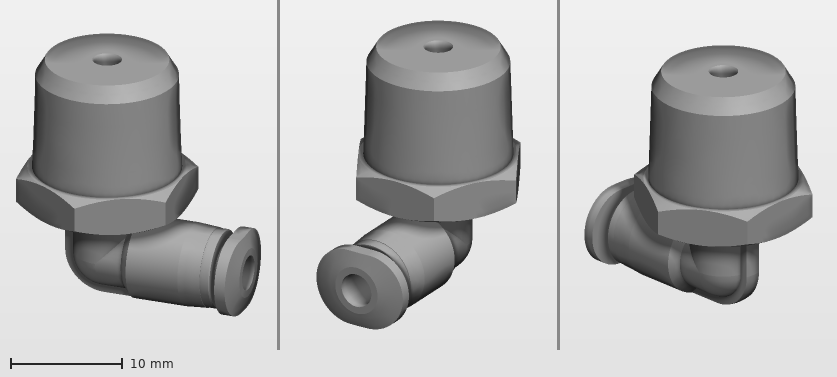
import cadquery as cq
import math


hex_across_flats = 14.3
hex_bottom_z = 4.8
hex_height = 3.5
hex_half_sector = 30
hex_chamfer_angle = 30
thread_height = 10.5
thread_base_radius = 6.72
thread_taper = 1 / 16
thread_tip_height = 1.45
thread_tip_radius = 5.57

stem_radius = 3.05
flare_radius = 3.8
flare_length = 0.8
rib_thickness = 1.55

body_radius = 3.8
body_x = 3.2
body_cone_length = 0.75
body_taper_x = 8.15
body_end_land_x = 10.2
body_end_x = 11.1
body_taper_end_radius = 3.65
body_end_radius = 3.6
body_end_chamfer = 0.1

neck_radius = 4.58 / 2
neck_fillet = 0.32
collar_x = 11.97
collar_end_x = 13.5
collar_half_height = 7.2 / 2
collar_flat_width = 2.0
collar_face_radius = 2.25
collar_face_slope = 0.225

bore_radius = 1.5 / 2
countersink_radius = 2.65 / 2
countersink_half_angle = 30
tube_radius = 3.17 / 2
tube_stop_x = body_x

hex_top_z = hex_bottom_z + hex_height
thread_top_z = hex_top_z + thread_height


def revolve_z(points):
    """Turn an (r, z) outline about the Z axis."""
    return cq.Workplane("XZ").polyline(points).close().revolve(360, (0, 0), (0, 1))


def revolve_x(points):
    """Turn an (x, r) outline about the X axis."""
    return cq.Workplane("XZ").polyline(points).close().revolve(360, (0, 0), (1, 0))


def cylinder_z(radius, z_start, z_end):
    return cq.Workplane("XY").workplane(offset=z_start).circle(radius).extrude(z_end - z_start)


def cylinder_x(radius, x_start, x_end):
    return cq.Workplane("YZ").workplane(offset=x_start).circle(radius).extrude(x_end - x_start)


def elbow(radius, x_end, z_end):
    """Round bend: two equal cylinders with a ball at the outer corner."""
    ball = cq.Workplane("XY").sphere(radius)
    return cylinder_z(radius, 0, z_end).union(cylinder_x(radius, 0, x_end)).union(ball)


def make_hexagon():
    corner_radius = hex_across_flats / 2 / math.cos(math.radians(hex_half_sector))
    flat_radius = hex_across_flats / 2
    corner_drop = (corner_radius - flat_radius) * math.tan(math.radians(hex_chamfer_angle))
    prism = (
        cq.Workplane("XY")
        .workplane(offset=hex_bottom_z)
        .polygon(6, 2 * corner_radius)
        .extrude(hex_height)
        .rotate((0, 0, 0), (0, 0, 1), hex_half_sector)
    )
    chamfer_envelope = revolve_z([
        (0, hex_bottom_z),
        (flat_radius, hex_bottom_z),
        (corner_radius, hex_bottom_z + corner_drop),
        (corner_radius, hex_top_z - corner_drop),
        (flat_radius, hex_top_z),
        (0, hex_top_z),
    ])
    return prism.intersect(chamfer_envelope)


def make_thread():
    taper_end_z = thread_top_z - thread_tip_height
    taper_end_radius = thread_base_radius - (taper_end_z - hex_top_z) * thread_taper / 2
    return revolve_z([
        (0, hex_top_z),
        (thread_base_radius, hex_top_z),
        (taper_end_radius, taper_end_z),
        (thread_tip_radius, thread_top_z),
        (0, thread_top_z),
    ])


def make_elbow():
    flare = revolve_z([
        (0, hex_bottom_z - flare_length),
        (stem_radius, hex_bottom_z - flare_length),
        (flare_radius, hex_bottom_z),
        (0, hex_bottom_z),
    ])
    return elbow(stem_radius, body_x, hex_bottom_z).union(flare)


def make_rib():
    """Slab along the outside of the bend, rounded to the port body radius."""
    outer_bend = elbow(body_radius, body_x, hex_bottom_z)
    slab = cq.Workplane("XY").box(4 * body_radius, rib_thickness, 4 * body_radius)
    inner_corner = (
        cq.Workplane("XY")
        .box(2 * body_radius, 2 * body_radius, 2 * hex_bottom_z, centered=(False, True, False))
    )
    return outer_bend.intersect(slab).cut(inner_corner)


def make_body():
    return revolve_x([
        (body_x - body_cone_length, 0),
        (body_x - body_cone_length, stem_radius),
        (body_x, body_radius),
        (body_taper_x, body_radius),
        (body_end_land_x, body_taper_end_radius),
        (body_end_land_x, body_end_radius),
        (body_end_x - body_end_chamfer, body_end_radius),
        (body_end_x, body_end_radius - body_end_chamfer),
        (body_end_x, 0),
    ])


def make_collar():
    plate = (
        cq.Workplane("YZ")
        .workplane(offset=collar_x)
        .slot2D(2 * collar_half_height + collar_flat_width, 2 * collar_half_height)
        .extrude(collar_end_x - collar_x)
    )
    outer_radius = collar_half_height + collar_flat_width / 2
    face_setback = (outer_radius - collar_face_radius) * collar_face_slope
    coned_face = revolve_x([
        (collar_x, 0),
        (collar_x, outer_radius),
        (collar_end_x - face_setback, outer_radius),
        (collar_end_x, collar_face_radius),
        (collar_end_x, 0),
    ])
    neck = (
        cq.Workplane("XZ")
        .moveTo(body_end_x, 0)
        .lineTo(body_end_x, neck_radius)
        .lineTo(collar_x - neck_fillet, neck_radius)
        .radiusArc((collar_x, neck_radius + neck_fillet), -neck_fillet)
        .lineTo(collar_x, 0)
        .close()
        .revolve(360, (0, 0), (1, 0))
    )
    return plate.intersect(coned_face).union(neck)


def make_passages():
    countersink_depth = (countersink_radius - bore_radius) / math.tan(math.radians(countersink_half_angle))
    countersink = revolve_z([
        (0, thread_top_z - countersink_depth),
        (bore_radius, thread_top_z - countersink_depth),
        (countersink_radius, thread_top_z),
        (0, thread_top_z),
    ])
    tube_socket = cylinder_x(tube_radius, tube_stop_x, collar_end_x)
    return elbow(bore_radius, tube_stop_x, thread_top_z).union(countersink).union(tube_socket)


result = make_hexagon()
for piece in (make_thread(), make_elbow(), make_rib(), make_body(), make_collar()):
    result = result.union(piece)
result = result.cut(make_passages())